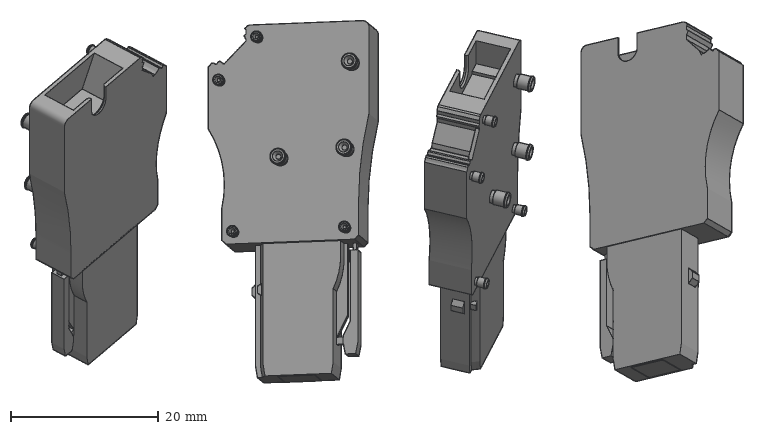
import cadquery as cq
import math


OVERALL_HEIGHT = 48.6

HOUSING_THICKNESS = 6.1
HOUSING_HEIGHT = 30.2
HOUSING_DEPTH = 22.4
FRONT_CORNER_RADIUS = 0.95
BOTTOM_CHAMFER = 0.55
FRONT_WAIST_Y = 1.45
FRONT_ARC_TOP_Z = 17.3
FRONT_ARC_BOTTOM_Z = 5.1
BACK_WAIST_Y = 20.15
BACK_ARC_CENTRE_Z = 8.2
BACK_ARC_RADIUS = 14.8
BACK_BOTTOM_Y = 20.5

ENTRY_LOW = (20.17, 24.95)
ENTRY_HIGH = (17.12, 28.0)
BACK_TEETH = [
    (HOUSING_DEPTH, 24.6), (22.2, 24.75), (21.95, 25.1), (21.65, 25.15), (21.35, 24.95),
    (21.2, 25.0), (20.95, 25.3), (20.75, 25.35), (20.27, 25.0),
]
TOP_TEETH = [
    (17.12, 28.15), (17.42, 28.75), (17.12, 28.95), (17.12, 29.5),
    (17.3, 29.72), (16.9, 30.1), (16.6, HOUSING_HEIGHT),
]
ENTRY_WALL = 0.57
ENTRY_RECESS_DEPTH = 0.5
RECESS_FOOT = [(19.2, 25.4), (19.5, 24.75), (19.75, 24.9), (19.95, 24.9)]

POCKET_X = (0.6, 5.55)
POCKET_FRONT_Y = 2.66
POCKET_SHELF_Y = 4.3
POCKET_SLOPE_BOTTOM_Y = 10.85
POCKET_SLOPE_TOP_Y = 13.5
POCKET_DEPTH = 4.7
SHELF_DEPTH = 4.2

NOTCH_Y = 7.53
NOTCH_RADIUS = 1.55
NOTCH_CENTRE_Z = 28.0
NOTCH_BEVEL = 0.25

LARGE_PINS = [(2.25, 24.25), (12.2, 11.45), (3.0, 12.36)]
SMALL_PINS = [(15.37, 28.28), (20.66, 22.5), (18.72, 1.5), (3.13, 1.5)]
LARGE_PIN = dict(length=2.47, rim_radius=1.12, barrel_radius=1.02, bore_radius=0.7, neck_length=0.5)
SMALL_PIN = dict(length=1.75, rim_radius=0.77, barrel_radius=0.68, bore_radius=0.43, neck_length=0.35)
PIN_TIP_CHAMFER = 0.22
PIN_TIP_STEP = 0.15
PIN_RIM_WIDTH = 0.15
PIN_NECK_STEP = 0.12
PIN_BORE_DEPTH = 0.6
PIN_BORE_TAPER = 0.5

TAIL_X = (0.73, 5.95)
TAIL_FRONT_Y = 5.13
TAIL_NECK_Y = 4.1
TAIL_BACK_Y = 16.2
TAIL_ARC_TOP_Z = -2.05
TAIL_ARC_BOTTOM_Z = -6.6
TAPER_START_Z = -16.7
TAIL_BOTTOM_Z = -18.3
TAPER_INSET = 0.27
BEVEL_Y = (14.9, 15.2, 15.5)
BEVEL_MIDDLE_X = 1.22
TONGUE_X = 1.8
NUB_X = (1.1, 5.6)
NUB_Y = (7.8, 12.95)
NUB_BOTTOM_Z = HOUSING_HEIGHT - OVERALL_HEIGHT

CATCH_X = (2.5, 4.2)
CATCH_TIP_Y = 16.85
CATCH_TIP_Z = (-6.75, -5.8)
CATCH_FLARE = 0.65
PAD_X = 1.0
PAD_TIP_Y = 15.75

LATCH_CENTRE_X = 3.35
LATCH_WIDTH = 2.15
WEB_WIDTH = 0.75
WEB_FRONT_Y = 3.66
WEB_BEND_Z = -10.0
WEB_BOTTOM_Z = -12.9
LATCH_Y = (2.05, 3.1)
LATCH_TOP_Z = -1.05
LATCH_BEND_Z = -10.85
LATCH_BOTTOM_Z = -15.4
LATCH_TAPER_Z = -13.9
LATCH_FOOT_Y = 4.1
LATCH_TOE_INSET = 0.3
STEM_Y = (2.35, 2.85)
BRIDGE_Z = (-13.9, -12.9)

OVERLAP = 0.3


def plate(points, x_start, x_end):
    """Extrude a closed (y, z) polygon from x_start to x_end."""
    return cq.Workplane("YZ", origin=(x_start, 0, 0)).polyline(points).close().extrude(x_end - x_start)


def block(x_range, y_range, z_range):
    """Box given by its limits along each axis."""
    size = [high - low for low, high in (x_range, y_range, z_range)]
    corner = (x_range[0], y_range[0], z_range[0])
    return cq.Workplane("XY").box(*size, centered=False).translate(corner)


def mid_span(width):
    """X limits of a feature centred on the latch's mid-plane."""
    return LATCH_CENTRE_X - width / 2, LATCH_CENTRE_X + width / 2


def tangent_arc_middle(tangent_z, end_z, tangent_y, end_y):
    """Middle point of an arc that is vertical at (tangent_y, tangent_z) and ends at (end_y, end_z)."""
    rise = end_z - tangent_z
    run = end_y - tangent_y
    radius = (rise**2 + run**2) / (2 * abs(run))
    half_angle = math.asin(abs(rise) / radius) / 2
    y = tangent_y + math.copysign(radius * (1 - math.cos(half_angle)), run)
    z = tangent_z + math.copysign(radius * math.sin(half_angle), rise)
    return y, z


def back_arc_z(y, side):
    """Height where the back waist arc reaches y, above (side=1) or below (side=-1) its centre."""
    centre_y = BACK_WAIST_Y + BACK_ARC_RADIUS
    return BACK_ARC_CENTRE_Z + side * math.sqrt(BACK_ARC_RADIUS**2 - (centre_y - y) ** 2)


def make_housing():
    corner_middle = FRONT_CORNER_RADIUS * (1 - math.sqrt(0.5))
    outline = (
        cq.Workplane("YZ")
        .moveTo(FRONT_WAIST_Y + BOTTOM_CHAMFER, 0)
        .lineTo(FRONT_WAIST_Y, BOTTOM_CHAMFER)
        .lineTo(FRONT_WAIST_Y, FRONT_ARC_BOTTOM_Z)
        .threePointArc(
            tangent_arc_middle(FRONT_ARC_BOTTOM_Z, FRONT_ARC_TOP_Z, FRONT_WAIST_Y, 0),
            (0, FRONT_ARC_TOP_Z),
        )
        .lineTo(0, HOUSING_HEIGHT - FRONT_CORNER_RADIUS)
        .threePointArc(
            (corner_middle, HOUSING_HEIGHT - corner_middle),
            (FRONT_CORNER_RADIUS, HOUSING_HEIGHT),
        )
    )
    for point in reversed([ENTRY_LOW, ENTRY_HIGH] + TOP_TEETH):
        outline = outline.lineTo(*point)
    for point in reversed(BACK_TEETH):
        outline = outline.lineTo(*point)
    return (
        outline.lineTo(HOUSING_DEPTH, back_arc_z(HOUSING_DEPTH, 1))
        .threePointArc((BACK_WAIST_Y, BACK_ARC_CENTRE_Z), (BACK_BOTTOM_Y, back_arc_z(BACK_BOTTOM_Y, -1)))
        .lineTo(BACK_BOTTOM_Y, BOTTOM_CHAMFER)
        .lineTo(BACK_BOTTOM_Y - BOTTOM_CHAMFER, 0)
        .close()
        .extrude(HOUSING_THICKNESS)
    )


def entry_recess():
    """Trough behind the thin wall at the diagonal cable entry."""
    recess_top = (ENTRY_HIGH[0], ENTRY_HIGH[1] - ENTRY_RECESS_DEPTH)
    return plate([ENTRY_LOW, ENTRY_HIGH, recess_top] + RECESS_FOOT, ENTRY_WALL, HOUSING_THICKNESS)


def top_pocket():
    floor_z = HOUSING_HEIGHT - POCKET_DEPTH
    shelf_z = HOUSING_HEIGHT - SHELF_DEPTH
    profile = [
        (POCKET_FRONT_Y, HOUSING_HEIGHT),
        (POCKET_FRONT_Y, shelf_z),
        (POCKET_SHELF_Y, shelf_z),
        (POCKET_SHELF_Y, floor_z),
        (POCKET_SLOPE_BOTTOM_Y, floor_z),
        (POCKET_SLOPE_TOP_Y, HOUSING_HEIGHT),
    ]
    return plate(profile, *POCKET_X)


def wall_notch():
    """U-shaped notch whose inner edge is bevelled over half of the wall."""
    wall = HOUSING_THICKNESS - POCKET_X[1]
    height = HOUSING_HEIGHT - NOTCH_CENTRE_Z

    def u_shape(x, radius):
        return (
            cq.Workplane("YZ", origin=(x, NOTCH_Y, NOTCH_CENTRE_Z))
            .moveTo(-radius, height)
            .lineTo(-radius, 0)
            .threePointArc((0, -radius), (radius, 0))
            .lineTo(radius, height)
            .close()
        )

    through = u_shape(POCKET_X[1], NOTCH_RADIUS).extrude(wall)
    bevel_radius = NOTCH_RADIUS + NOTCH_BEVEL
    inner = u_shape(POCKET_X[1], bevel_radius).wires().vals()[0]
    outer = u_shape(POCKET_X[1] + wall / 2, NOTCH_RADIUS).wires().vals()[0]
    bevel = cq.Workplane(obj=cq.Solid.makeLoft([inner, outer], True))
    return through.union(bevel)


def make_pin(centre, length, rim_radius, barrel_radius, bore_radius, neck_length):
    """Hollow-ended pin standing out of the housing's -X face."""
    rim_start = PIN_TIP_CHAMFER - length
    rim_end = rim_start + PIN_RIM_WIDTH
    tip_radius = rim_radius - PIN_TIP_STEP
    neck_radius = barrel_radius - PIN_NECK_STEP
    profile = [
        (OVERLAP, 0),
        (OVERLAP, neck_radius),
        (-neck_length, neck_radius),
        (-neck_length, barrel_radius),
        (rim_end, barrel_radius),
        (rim_end, rim_radius),
        (rim_start, rim_radius),
        (-length, tip_radius),
        (-length, bore_radius),
        (PIN_BORE_DEPTH - length, bore_radius * PIN_BORE_TAPER),
        (PIN_BORE_DEPTH - length, 0),
    ]
    pin = cq.Workplane("XY").polyline(profile).close().revolve(360, (0, 0, 0), (1, 0, 0))
    return pin.translate((0, *centre))


def tail_section(z, inset):
    """Tail cross-section at height z, with its front and back edges drawn in by inset."""
    bevel_start, bevel_middle, bevel_end = (y - inset for y in BEVEL_Y)
    points = [
        (TAIL_X[0], TAIL_FRONT_Y + inset),
        (TAIL_X[0], bevel_start),
        (BEVEL_MIDDLE_X, bevel_middle),
        (TONGUE_X, bevel_end),
        (TONGUE_X, TAIL_BACK_Y - inset),
        (TAIL_X[1], TAIL_BACK_Y - inset),
        (TAIL_X[1], TAIL_FRONT_Y + inset),
    ]
    return cq.Workplane("XY", origin=(0, 0, z)).polyline(points).close()


def make_tail():
    body = tail_section(TAPER_START_Z, 0).extrude(OVERLAP - TAPER_START_Z)
    taper_top = tail_section(TAPER_START_Z, 0).wires().vals()[0]
    taper_bottom = tail_section(TAIL_BOTTOM_Z, TAPER_INSET).wires().vals()[0]
    taper = cq.Workplane(obj=cq.Solid.makeLoft([taper_top, taper_bottom], True))
    shoulder_back_y = TAIL_FRONT_Y + OVERLAP
    shoulder = (
        cq.Workplane("YZ", origin=(TAIL_X[0], 0, 0))
        .moveTo(TAIL_NECK_Y, OVERLAP)
        .lineTo(TAIL_NECK_Y, TAIL_ARC_TOP_Z)
        .threePointArc(
            tangent_arc_middle(TAIL_ARC_TOP_Z, TAIL_ARC_BOTTOM_Z, TAIL_NECK_Y, TAIL_FRONT_Y),
            (TAIL_FRONT_Y, TAIL_ARC_BOTTOM_Z),
        )
        .lineTo(shoulder_back_y, TAIL_ARC_BOTTOM_Z)
        .lineTo(shoulder_back_y, OVERLAP)
        .close()
        .extrude(TAIL_X[1] - TAIL_X[0])
    )
    nub = block(NUB_X, NUB_Y, (NUB_BOTTOM_Z, TAIL_BOTTOM_Z + OVERLAP))
    return body.union(taper).union(shoulder).union(nub)


def make_catch():
    """Trapezoidal catch on the back of the tail and a similar pad on its bevel."""
    low, high = CATCH_TIP_Z
    catch = plate(
        [
            (TAIL_BACK_Y - OVERLAP, low - CATCH_FLARE),
            (TAIL_BACK_Y, low - CATCH_FLARE),
            (CATCH_TIP_Y, low),
            (CATCH_TIP_Y, high),
            (TAIL_BACK_Y, high + CATCH_FLARE),
            (TAIL_BACK_Y - OVERLAP, high + CATCH_FLARE),
        ],
        *CATCH_X,
    )
    pad_root_y = BEVEL_Y[1]
    pad = plate(
        [
            (pad_root_y, low - CATCH_FLARE / 2),
            (PAD_TIP_Y, low),
            (PAD_TIP_Y, high),
            (pad_root_y, high + CATCH_FLARE / 2),
        ],
        PAD_X,
        TONGUE_X + OVERLAP,
    )
    return catch.union(pad)


def make_latch():
    """Latch lever, hung from a stem and joined to the tail by a bridge, with the web behind it."""
    front, back = LATCH_Y
    lever = plate(
        [
            (front, LATCH_TOP_Z),
            (back, LATCH_TOP_Z),
            (back, LATCH_BEND_Z),
            (LATCH_FOOT_Y, WEB_BOTTOM_Z),
            (LATCH_FOOT_Y, LATCH_TAPER_Z),
            (LATCH_FOOT_Y - LATCH_TOE_INSET, LATCH_BOTTOM_Z),
            (front + LATCH_TOE_INSET, LATCH_BOTTOM_Z),
            (front, LATCH_TAPER_Z),
        ],
        *mid_span(LATCH_WIDTH),
    )
    web_back_y = TAIL_FRONT_Y + OVERLAP
    web = plate(
        [
            (WEB_FRONT_Y, OVERLAP),
            (WEB_FRONT_Y, WEB_BEND_Z),
            (TAIL_FRONT_Y, WEB_BOTTOM_Z),
            (web_back_y, WEB_BOTTOM_Z),
            (web_back_y, OVERLAP),
        ],
        *mid_span(WEB_WIDTH),
    )
    stem = block(mid_span(WEB_WIDTH), STEM_Y, (LATCH_TOP_Z - OVERLAP, OVERLAP))
    bridge = block(mid_span(WEB_WIDTH), (LATCH_FOOT_Y - OVERLAP, TAIL_FRONT_Y + OVERLAP), BRIDGE_Z)
    return lever.union(web).union(stem).union(bridge)


result = make_housing().cut(entry_recess()).cut(top_pocket()).cut(wall_notch())
for pin_centre in LARGE_PINS:
    result = result.union(make_pin(pin_centre, **LARGE_PIN))
for pin_centre in SMALL_PINS:
    result = result.union(make_pin(pin_centre, **SMALL_PIN))
result = result.union(make_tail()).union(make_catch()).union(make_latch())